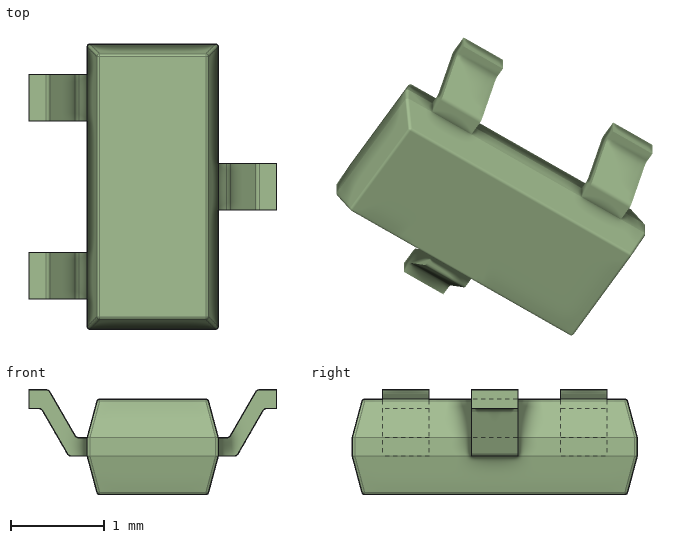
import cadquery as cq
import math

body_length = 3.04
body_width = 1.398
body_height = 1.018
band_height = 0.198
draft_angle = 15.0
body_edge_radius = 0.03

span = 2.64
lead_top = 1.12
lead_width = 0.5
lead_pitch = 0.95
foot_thickness = 0.2
foot_top_length = 0.21
foot_bottom_length = 0.13
slope_angle = 60.0
bend_radius = 0.05
lead_embed = 0.152

pick_margin = 0.03

band_bottom = (body_height - band_height) / 2
band_top = band_bottom + band_height


def make_tapered_half(start_z, direction):
    """Drafted block growing up (+1) or down (-1) from the waist band."""
    return (
        cq.Workplane("XY", origin=(0, 0, start_z))
        .rect(body_width, body_length)
        .extrude(direction * band_bottom, taper=draft_angle)
    )


def make_body():
    band = (
        cq.Workplane("XY", origin=(0, 0, band_bottom))
        .rect(body_width, body_length)
        .extrude(band_height)
    )
    body = band.union(make_tapered_half(band_top, 1)).union(make_tapered_half(band_bottom, -1))
    waist_lines = cq.selectors.BoxSelector(
        (-body_width, -body_length, band_bottom - pick_margin),
        (body_width, body_length, band_top + pick_margin),
    ) - cq.selectors.ParallelDirSelector(cq.Vector(0, 0, 1))
    return body.edges(cq.selectors.InverseSelector(waist_lines)).fillet(body_edge_radius)


def make_lead(center_y):
    """Lead on the -X side: foot at the top, slope down to the waist band."""
    tip_x = -span / 2
    inner_x = -body_width / 2 + lead_embed
    foot_bottom = lead_top - foot_thickness
    run_per_drop = 1 / math.tan(math.radians(slope_angle))
    upper_foot_x = tip_x + foot_top_length
    lower_foot_x = tip_x + foot_bottom_length
    upper_bend_x = upper_foot_x + (lead_top - band_top) * run_per_drop
    lower_bend_x = lower_foot_x + (foot_bottom - band_bottom) * run_per_drop
    lead = (
        cq.Workplane("XZ", origin=(0, center_y, 0))
        .moveTo(tip_x, lead_top)
        .lineTo(upper_foot_x, lead_top)
        .lineTo(upper_bend_x, band_top)
        .lineTo(inner_x, band_top)
        .lineTo(inner_x, band_bottom)
        .lineTo(lower_bend_x, band_bottom)
        .lineTo(lower_foot_x, foot_bottom)
        .lineTo(tip_x, foot_bottom)
        .close()
        .extrude(lead_width / 2, both=True)
    )
    bends = cq.selectors.BoxSelector(
        (tip_x + pick_margin, center_y - lead_width, 0),
        (inner_x - pick_margin, center_y + lead_width, lead_top + pick_margin),
    )
    return lead.edges("|Y").edges(bends).fillet(bend_radius)


result = make_body()
for lead_y in (-lead_pitch, lead_pitch):
    result = result.union(make_lead(lead_y))
result = result.union(make_lead(0).mirror("YZ"))